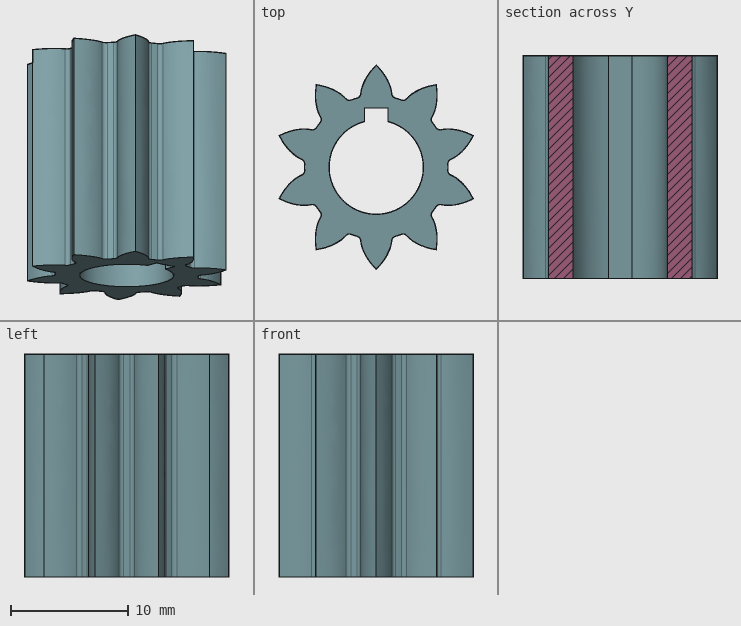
import cadquery as cq
import math

TEETH = 10
DIAMETRAL_PITCH = 20
MM_PER_INCH = 25.4
MODULE = MM_PER_INCH / DIAMETRAL_PITCH
PRESSURE_ANGLE = math.radians(14.5)
TIP_RADIUS = 17.45 / 2
FACE_WIDTH = 19.05
ROOT_CIRCLE_TEETH = 12
DEDENDUM_FACTOR = 1.17
ROOT_FILLET = 0.4

BASE_RADIUS = TEETH * MODULE / 2 * math.cos(PRESSURE_ANGLE)
ROOT_RADIUS = (ROOT_CIRCLE_TEETH / 2 - DEDENDUM_FACTOR) * MODULE
TOOTH_PITCH_ANGLE = math.tau / TEETH
FIRST_TOOTH_ANGLE = math.pi / 2
FLANK_SPANS = 8

BORE_RADIUS = 4.02
KEYWAY_WIDTH = 2.0
KEYWAY_TOP = 5.05


def involute_angle(radius):
    """Polar angle of the base-circle involute at the given radius."""
    pressure = math.acos(BASE_RADIUS / radius)
    return math.tan(pressure) - pressure


def half_tooth_angle(radius):
    """Half the angle a tooth spans at the given radius; zero at the pointed tip."""
    return involute_angle(TIP_RADIUS) - involute_angle(radius)


def polar(radius, angle):
    return (radius * math.cos(angle), radius * math.sin(angle))


FILLET_CENTRE_RADIUS = ROOT_RADIUS + ROOT_FILLET
FILLET_CENTRE_ANGLE = half_tooth_angle(FILLET_CENTRE_RADIUS) + ROOT_FILLET / BASE_RADIUS
FLANK_START_NORMAL = math.sqrt(FILLET_CENTRE_RADIUS**2 - BASE_RADIUS**2) - ROOT_FILLET
FLANK_START_RADIUS = math.hypot(BASE_RADIUS, FLANK_START_NORMAL)


def add_tooth(outline, centre_angle):
    """Continue the outline from one root arc, over a tooth, to the next root arc's end."""
    flank_step = (TIP_RADIUS - FLANK_START_RADIUS) / FLANK_SPANS
    radii = [FLANK_START_RADIUS + i * flank_step for i in range(FLANK_SPANS)]
    rising = [polar(r, centre_angle - half_tooth_angle(r)) for r in radii]
    falling = [polar(r, centre_angle + half_tooth_angle(r)) for r in reversed(radii)]
    tip = polar(TIP_RADIUS, centre_angle)
    root_start = polar(ROOT_RADIUS, centre_angle + FILLET_CENTRE_ANGLE)
    root_middle = polar(ROOT_RADIUS, centre_angle + TOOTH_PITCH_ANGLE / 2)
    root_end = polar(ROOT_RADIUS, centre_angle + TOOTH_PITCH_ANGLE - FILLET_CENTRE_ANGLE)
    return (
        outline.radiusArc(rising[0], ROOT_FILLET)
        .spline(rising[1:] + [tip], includeCurrent=True)
        .spline(falling, includeCurrent=True)
        .radiusArc(root_start, ROOT_FILLET)
        .threePointArc(root_middle, root_end)
    )


def toothed_body():
    start = polar(ROOT_RADIUS, FIRST_TOOTH_ANGLE - FILLET_CENTRE_ANGLE)
    outline = cq.Workplane("XY").moveTo(*start)
    for i in range(TEETH):
        outline = add_tooth(outline, FIRST_TOOTH_ANGLE + i * TOOTH_PITCH_ANGLE)
    return outline.close().extrude(FACE_WIDTH)


def bore_and_keyway():
    bore = cq.Workplane("XY").circle(BORE_RADIUS).extrude(FACE_WIDTH)
    keyway = (
        cq.Workplane("XY")
        .center(0, KEYWAY_TOP / 2)
        .rect(KEYWAY_WIDTH, KEYWAY_TOP)
        .extrude(FACE_WIDTH)
    )
    return bore.union(keyway)


result = toothed_body().cut(bore_and_keyway())